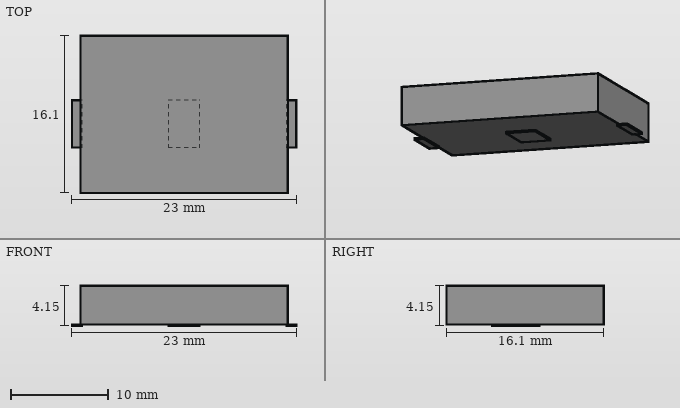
import cadquery as cq

overall_length = 23.0
overall_height = 4.15

housing_length = 21.25
housing_width = 16.12

pad_thickness = 0.15
pad_width = 4.85
pad_offset_y = -0.97
end_pad_length = 1.03
middle_pad_length = 3.15

housing_height = overall_height - pad_thickness
end_pad_center_x = (overall_length - end_pad_length) / 2


def make_housing():
    """Plain block resting on top of the pads."""
    return (
        cq.Workplane("XY")
        .workplane(offset=pad_thickness)
        .rect(housing_length, housing_width)
        .extrude(housing_height)
    )


def make_pad(length, center_x):
    """Thin rectangular pad touching the underside of the housing."""
    return (
        cq.Workplane("XY")
        .center(center_x, pad_offset_y)
        .rect(length, pad_width)
        .extrude(pad_thickness)
    )


housing = make_housing()
middle_pad = make_pad(middle_pad_length, 0)

end_pads = []
for side in (-1, 1):
    end_pads.append(make_pad(end_pad_length, side * end_pad_center_x).val())

result = cq.Compound.makeCompound([housing.val(), middle_pad.val(), *end_pads])